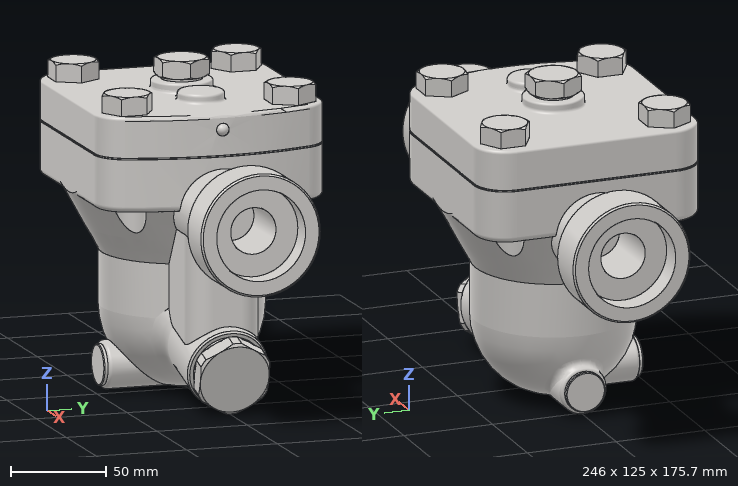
import cadquery as cq
import math


body_radius = 44.0
dome_z = -62.1
shoulder_z = -32.5
flare_break_z = -19.0
flare_break_radius = 51.4
flare_top_z = 4.0
flare_top_radius = 64.0

bolt_offset = 45.0
corner_radius = 17.5
half_width = bolt_offset + corner_radius
bulge_x = 68.8
right_corner_x = 43.5
flange_bottom_z = 0.9
gasket_bottom_z = 29.4
gasket_thickness = 0.8
cover_bottom_z = gasket_bottom_z + gasket_thickness
cover_top_z = 52.1
gasket_inset = 0.4
cover_edge_fillet = 2.0
flange_edge_fillet = 3.0
nut_clearance_radius = 10.0
nut_clearance_top_z = -0.4
nut_clearance_bottom_z = -30.0

bolt_across_flats = 24.0
bolt_head_height = 10.0
chamfer_angle = math.radians(30)

plug_boss_radius = 16.5
plug_boss_top_z = 58.2
small_boss_x = 32.0
small_boss_radius = 12.5
plug_boss_top_fillet = 1.5
small_boss_top_fillet = 2.0
boss_base_fillet = 2.4
bridge_width = 14.0
bridge_height = 3.0
plug_across_flats = 26.0
plug_neck_radius = 11.0
plug_neck_height = 1.6
plug_top_z = 69.6

pin_radius = 3.4
pin_z = 44.1
pin_tip_x = 72.1

pipe_radius = 23.0
inlet_x = -113.0
outlet_x = 133.0
socket_radius = 33.0
socket_length = 23.0
socket_chamfer = 1.0
cone_length = 6.0
bead_start = 34.3
bead_end = 41.7
bead_height = 0.6
socket_bore_radius = 49.1 / 2
socket_bore_depth = 13.0
pipe_bore_radius = 12.5
pipe_bore_depth = 50.0

strainer_tilt = 15.0
strainer_radius = 22.0
strainer_length = 80.0
strainer_flare = 15.0
strainer_chamfer = 1.0
strainer_neck_radius = 19.0
strainer_hex_start = 82.0
strainer_hex_end = 92.0
strainer_across_flats = 38.0
strainer_corner_radius = 20.7

rib_half_width = 20.0
rib_tip_x = 77.0
rib_nose_fillet = 12.0

drain_z = -92.6
drain_radius = 13.0
drain_length = 44.3
drain_edge_fillet = 2.0
drain_plug_radius = 11.0
drain_plug_end = 46.5
drain_plug_chamfer = 0.5
drain_root_fillet = 4.0

select_margin = 0.1


def cylinder_z(radius, z_low, z_high, x=0.0, y=0.0):
    """Upright cylinder between two heights."""
    return cq.Workplane("XY", origin=(x, y, z_low)).circle(radius).extrude(z_high - z_low)


def hexagon(across_flats, z_low, z_high, corner_angle, chamfer_below=False, turned_radius=None):
    """Upright hexagon prism with cone-chamfered corners, optionally turned down to a radius."""
    flat_radius = across_flats / 2
    full_corner = flat_radius / math.cos(math.pi / 6)
    corner = turned_radius or full_corner
    drop = (corner - flat_radius) * math.tan(chamfer_angle)
    prism = (
        cq.Workplane("XY", origin=(0, 0, z_low))
        .polygon(6, 2 * full_corner)
        .extrude(z_high - z_low)
        .rotate((0, 0, 0), (0, 0, 1), corner_angle)
    )
    profile = cq.Workplane("XZ").moveTo(0, z_low)
    if chamfer_below:
        profile = profile.lineTo(flat_radius, z_low).lineTo(corner, z_low + drop)
    else:
        profile = profile.lineTo(corner, z_low)
    envelope = (
        profile.lineTo(corner, z_high - drop)
        .lineTo(flat_radius, z_high)
        .lineTo(0, z_high)
        .close()
        .revolve(360, (0, 0), (0, 1))
    )
    return prism.intersect(envelope)


def flange_prism(z_low, z_high):
    """Square outline with rounded corners and a bowed +X side."""
    reach = bulge_x - right_corner_x
    bow_radius = (reach**2 + bolt_offset**2 - corner_radius**2) / (2 * (reach - corner_radius))
    bow_center_x = bulge_x - bow_radius
    bow_angle = math.atan2(bolt_offset, right_corner_x - bow_center_x)
    tangent_x = bow_center_x + bow_radius * math.cos(bow_angle)
    tangent_y = bow_radius * math.sin(bow_angle)
    middle_angle = (bow_angle + math.pi / 2) / 2
    round_x = right_corner_x + corner_radius * math.cos(middle_angle)
    round_y = bolt_offset + corner_radius * math.sin(middle_angle)
    left_round = bolt_offset + corner_radius * math.sqrt(0.5)
    return (
        cq.Workplane("XY", origin=(0, 0, z_low))
        .moveTo(-bolt_offset, -half_width)
        .lineTo(right_corner_x, -half_width)
        .threePointArc((round_x, -round_y), (tangent_x, -tangent_y))
        .threePointArc((bulge_x, 0), (tangent_x, tangent_y))
        .threePointArc((round_x, round_y), (right_corner_x, half_width))
        .lineTo(-bolt_offset, half_width)
        .threePointArc((-left_round, left_round), (-half_width, bolt_offset))
        .lineTo(-half_width, -bolt_offset)
        .threePointArc((-left_round, -left_round), (-bolt_offset, -half_width))
        .close()
        .extrude(z_high - z_low)
    )


def make_bowl():
    """Flared cylinder with a hemispherical bottom, trimmed to the flange outline."""
    dome_mid = body_radius * math.sqrt(0.5)
    bowl = (
        cq.Workplane("XZ")
        .moveTo(0, dome_z - body_radius)
        .threePointArc((dome_mid, dome_z - dome_mid), (body_radius, dome_z))
        .lineTo(body_radius, shoulder_z)
        .lineTo(flare_break_radius, flare_break_z)
        .lineTo(flare_top_radius, flare_top_z)
        .lineTo(0, flare_top_z)
        .close()
        .revolve(360, (0, 0), (0, 1))
    )
    bowl = bowl.intersect(flange_prism(dome_z - 2 * body_radius, flare_top_z))
    for x in (-bolt_offset, bolt_offset):
        for y in (-bolt_offset, bolt_offset):
            clearance = cylinder_z(
                nut_clearance_radius, nut_clearance_bottom_z, nut_clearance_top_z, x, y
            )
            bowl = bowl.cut(clearance)
    return bowl


def make_flanges():
    """Body flange, recessed gasket and cover."""
    lower = flange_prism(flange_bottom_z, gasket_bottom_z).faces("<Z").edges().fillet(flange_edge_fillet)
    cover = flange_prism(cover_bottom_z, cover_top_z).faces(">Z").edges().fillet(cover_edge_fillet)
    gasket_outline = flange_prism(gasket_bottom_z, cover_bottom_z).faces("<Z").wires().toPending()
    gasket = (
        gasket_outline.workplane()
        .offset2D(-gasket_inset)
        .extrude(-gasket_thickness, combine=False)
    )
    return lower.union(gasket).union(cover)


def make_cover_bosses():
    """Two round bosses joined by a low bridge, with blended base edges."""
    plug_boss = cylinder_z(plug_boss_radius, cover_top_z, plug_boss_top_z)
    small_boss = cylinder_z(small_boss_radius, cover_top_z, plug_boss_top_z, small_boss_x)
    plug_boss = plug_boss.faces(">Z").edges().fillet(plug_boss_top_fillet)
    small_boss = small_boss.faces(">Z").edges().fillet(small_boss_top_fillet)
    bridge = (
        cq.Workplane("XY", origin=(0, 0, cover_top_z))
        .rect(small_boss_x, bridge_width, centered=(False, True))
        .extrude(bridge_height)
    )
    return plug_boss.union(small_boss).union(bridge)


def make_cover():
    """Flange pair with its bosses, the boss roots filleted into the cover."""
    body = make_flanges().union(make_cover_bosses())
    root = cq.selectors.BoxSelector(
        (-half_width / 2, -half_width / 2, cover_top_z - select_margin),
        (bolt_offset, half_width / 2, cover_top_z + select_margin),
    )
    return body.edges(root).fillet(boss_base_fillet)


def make_bolts():
    """Four cover bolt heads; each is turned to its own corner angle."""
    corner_angles = {(-1, -1): 0, (1, 1): 0, (-1, 1): 30, (1, -1): 30}
    bolts = cq.Workplane("XY")
    for (side_x, side_y), angle in corner_angles.items():
        head = hexagon(bolt_across_flats, cover_top_z, cover_top_z + bolt_head_height, angle)
        bolts = bolts.add(head.translate((side_x * bolt_offset, side_y * bolt_offset, 0)))
    return bolts.combine()


def make_plug():
    """Vent plug on the larger boss."""
    neck_top_z = plug_boss_top_z + plug_neck_height
    neck = cylinder_z(plug_neck_radius, plug_boss_top_z, neck_top_z)
    return neck.union(hexagon(plug_across_flats, neck_top_z, plug_top_z, 0, chamfer_below=True))


def make_pin():
    """Round-headed pin standing out of the cover's bowed side."""
    pin_center_x = pin_tip_x - pin_radius
    return cq.Workplane("XY").sphere(pin_radius).translate((pin_center_x, 0, pin_z))


def make_pipe_end(end_x):
    """Solid pipe from the body axis to one end, with weld bead and welding socket."""
    length = abs(end_x)
    bead_middle = (bead_start + bead_end) / 2
    pipe = (
        cq.Workplane("XY")
        .moveTo(0, 0)
        .lineTo(0, pipe_radius)
        .lineTo(length - bead_end, pipe_radius)
        .threePointArc(
            (length - bead_middle, pipe_radius + bead_height), (length - bead_start, pipe_radius)
        )
        .lineTo(length - socket_length - cone_length, pipe_radius)
        .lineTo(length - socket_length, socket_radius)
        .lineTo(length - socket_chamfer, socket_radius)
        .lineTo(length, socket_radius - socket_chamfer)
        .lineTo(length, 0)
        .close()
        .revolve(360, (0, 0), (1, 0))
    )
    return pipe if end_x > 0 else pipe.mirror("YZ")


def make_pipe_bore(end_x):
    """Stepped bore of one pipe end."""
    inward = -1 if end_x > 0 else 1
    end_plane = cq.Workplane("YZ", origin=(end_x, 0, 0))
    socket = end_plane.circle(socket_bore_radius).extrude(inward * socket_bore_depth)
    return socket.union(end_plane.circle(pipe_bore_radius).extrude(inward * pipe_bore_depth))


def make_strainer():
    """Branch flared out of the dome and closed by a hexagon plug."""
    flare_center_r = strainer_radius + strainer_flare
    center_distance = body_radius + strainer_flare
    flare_center_s = math.sqrt(center_distance**2 - flare_center_r**2)
    touch = body_radius / center_distance
    flare_angle = math.atan2(flare_center_r, flare_center_s)
    middle = (flare_angle + math.pi + 3 * math.pi / 2) / 2
    branch = (
        cq.Workplane("XZ")
        .moveTo(0, 0)
        .lineTo(flare_center_r * touch, flare_center_s * touch)
        .threePointArc(
            (
                flare_center_r + strainer_flare * math.sin(middle),
                flare_center_s + strainer_flare * math.cos(middle),
            ),
            (strainer_radius, flare_center_s),
        )
        .lineTo(strainer_radius, strainer_length - strainer_chamfer)
        .lineTo(strainer_radius - strainer_chamfer, strainer_length)
        .lineTo(strainer_neck_radius, strainer_length)
        .lineTo(strainer_neck_radius, strainer_hex_start)
        .lineTo(0, strainer_hex_start)
        .close()
        .revolve(360, (0, 0), (0, 1))
    )
    plug = hexagon(
        strainer_across_flats,
        strainer_hex_start,
        strainer_hex_end,
        corner_angle=0,
        chamfer_below=True,
        turned_radius=strainer_corner_radius,
    )
    return (
        branch.union(plug)
        .rotate((0, 0, 0), (0, 1, 0), 90 + strainer_tilt)
        .translate((0, 0, dome_z))
    )


def make_rib():
    """Flat-sided web from the pipe axis down to the strainer branch axis."""
    slope = math.tan(math.radians(strainer_tilt))
    return (
        cq.Workplane("XZ")
        .polyline([(0, 0), (rib_tip_x, 0), (rib_tip_x, dome_z - rib_tip_x * slope), (0, dome_z)])
        .close()
        .extrude(rib_half_width, both=True)
        .edges("|Z and >X")
        .fillet(rib_nose_fillet)
    )


def make_drain():
    """Round drain boss with plug, pointing along -Y from the body axis."""
    boss = cq.Workplane("XZ").circle(drain_radius).extrude(drain_length)
    boss = boss.faces("<Y").edges().fillet(drain_edge_fillet)
    plug = cq.Workplane("XZ").circle(drain_plug_radius).extrude(drain_plug_end)
    plug = plug.faces("<Y").edges().chamfer(drain_plug_chamfer)
    return boss.union(plug).translate((0, 0, drain_z))


def make_bowl_with_side_drain():
    """Bowl with the -X drain boss, filleted where the boss leaves the dome."""
    side_drain = make_drain().rotate((0, 0, 0), (0, 0, 1), -90)
    bowl = make_bowl().union(side_drain)
    root = cq.selectors.BoxSelector(
        (-body_radius, -drain_radius - select_margin, dome_z - body_radius),
        (-select_margin, drain_radius + select_margin, dome_z - select_margin),
    )
    return bowl.edges(root).fillet(drain_root_fillet)


result = make_bowl_with_side_drain()
result = result.union(make_drain())
result = result.union(make_strainer())
result = result.union(make_rib())
result = result.union(make_cover())
result = result.union(make_bolts())
result = result.union(make_plug())
result = result.union(make_pin())
for pipe_end_x in (inlet_x, outlet_x):
    result = result.union(make_pipe_end(pipe_end_x)).cut(make_pipe_bore(pipe_end_x))